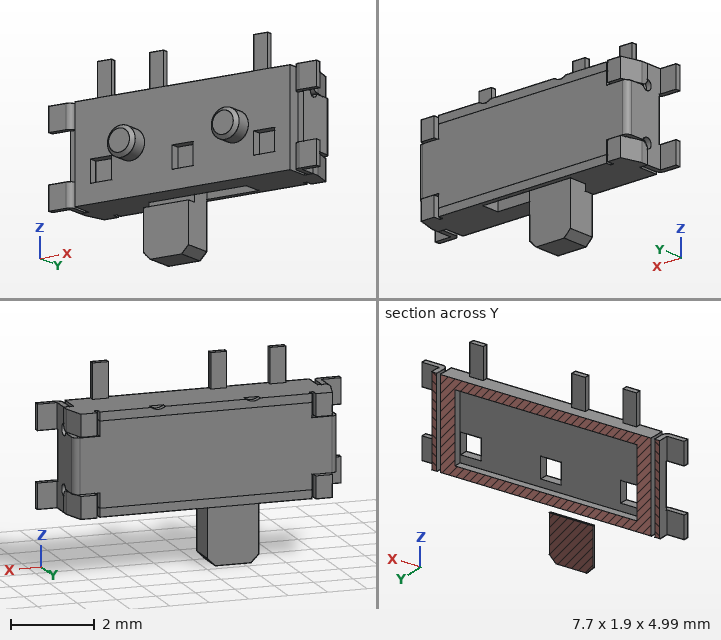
import cadquery as cq


housing_half_width = 3.095
housing_half_height = 1.3
housing_depth = 1.35
sheet_thickness = 0.155
end_half_width = 3.35
cover_seat_y = housing_depth - sheet_thickness

corner_inner_x = 2.77
corner_outer_x = 3.19
corner_back_y = 1.4
wing_front_y = 0.61
wing_slope_y = 0.82
wing_inner_z = 0.73
wing_fillet = 0.185
rim_half_width = 2.69
rim_notch_x = 1.2
rim_notch_half_width = 0.18
rim_notch_depth = 0.06

front_wall = 0.25
side_wall = 0.43
floor_wall = 0.3
cavity_half_width = housing_half_width - side_wall
cavity_half_height = housing_half_height - floor_wall
window_size = 0.6
window_pitch = 2.35
window_z = -0.485

peg_x = 1.49
peg_radius = 0.4
peg_length = 0.5
peg_chamfer = 0.1

slider_width = 1.3
slider_travel = 1.49
slider_x = -slider_travel / 2
neck_front_y = 0.655
neck_length = 0.185
knob_front_y = 0.4
knob_length = 1.49
knob_chamfer = 0.2
slot_width = slider_width + slider_travel

plate_half_height = 1.08
strap_half_height = 0.7
foot_tip_x = 3.85
foot_inner_z = 0.65
leg_front_y = 0.185
relief_radius = 0.15
relief_y = 0.63
relief_z = 0.75

terminal_width = 0.4
terminal_length = 0.9
terminal_positions = (-2.25, -0.75, 2.25)


def box(x_range, y_range, z_range):
    """Axis-aligned box spanning the given (low, high) ranges."""
    size = [high - low for low, high in (x_range, y_range, z_range)]
    corner = (x_range[0], y_range[0], z_range[0])
    return cq.Workplane("XY").box(*size, centered=False).translate(corner)


def centered_range(half_size, center=0):
    return (center - half_size, center + half_size)


def make_wing():
    """Upper wing at the +X end, with its corner block rising behind the rim."""
    wing = (
        cq.Workplane("XY", origin=(0, 0, wing_inner_z))
        .moveTo(corner_inner_x, wing_front_y)
        .lineTo(end_half_width, wing_front_y)
        .lineTo(end_half_width, wing_slope_y)
        .lineTo(corner_outer_x, corner_back_y)
        .lineTo(corner_inner_x, corner_back_y)
        .close()
        .extrude(housing_half_height - wing_inner_z)
    )
    return wing.edges("|X and <Y and <Z").fillet(wing_fillet)


def make_peg(x):
    peg = cq.Workplane("XZ", origin=(x, 0, 0)).circle(peg_radius).extrude(peg_length)
    return peg.faces("<Y").chamfer(peg_chamfer)


def make_rim_notch(x):
    """Shallow arc-bottomed notch in the top edge of the rim."""
    return (
        cq.Workplane("XZ", origin=(x, cover_seat_y, housing_half_height))
        .moveTo(-rim_notch_half_width, 0)
        .threePointArc((0, -rim_notch_depth), (rim_notch_half_width, 0))
        .close()
        .extrude(cover_seat_y - housing_depth)
    )


def make_rim():
    """Rim along the top and bottom of the housing back, open between for the cover plate."""
    rim_x = centered_range(rim_half_width)
    rim_y = (cover_seat_y, housing_depth)
    rim = box(rim_x, rim_y, (plate_half_height, housing_half_height))
    bottom_rim = rim.mirror("XY")
    for x in (-rim_notch_x, rim_notch_x):
        rim = rim.cut(make_rim_notch(x))
    return rim.union(bottom_rim)


def make_housing():
    full_height = centered_range(housing_half_height)
    body = box(centered_range(housing_half_width), (0, cover_seat_y), full_height)
    body = body.union(make_rim())

    right_wing = make_wing()
    right_wings = right_wing.union(right_wing.mirror("XY"))
    body = body.union(right_wings).union(right_wings.mirror("YZ"))

    body = body.cut(
        box(
            centered_range(cavity_half_width),
            (front_wall, cover_seat_y),
            centered_range(cavity_half_height),
        )
    )
    for x in (-window_pitch, 0, window_pitch):
        window_x = centered_range(window_size / 2, x)
        window_z_range = centered_range(window_size / 2, window_z)
        body = body.cut(box(window_x, (0, front_wall), window_z_range))

    slot_z = (-housing_half_height, -cavity_half_height)
    body = body.cut(box(centered_range(slot_width / 2), (neck_front_y, cover_seat_y), slot_z))

    for x in (-peg_x, peg_x):
        body = body.union(make_peg(x))
    return body


def make_cover_half():
    """+X half of the bent cover: back plate, strap, leg and two feet."""
    leg_inner_x = end_half_width - sheet_thickness
    half = (
        cq.Workplane("XY", origin=(0, 0, -housing_half_height))
        .moveTo(0, housing_depth)
        .lineTo(leg_inner_x, housing_depth)
        .radiusArc((end_half_width, cover_seat_y), sheet_thickness)
        .lineTo(end_half_width, sheet_thickness)
        .lineTo(foot_tip_x, sheet_thickness)
        .lineTo(foot_tip_x, 0)
        .lineTo(end_half_width, 0)
        .radiusArc((leg_inner_x, sheet_thickness), sheet_thickness)
        .lineTo(leg_inner_x, cover_seat_y)
        .lineTo(0, cover_seat_y)
        .close()
        .extrude(2 * housing_half_height)
    )
    behind_wing_front = (wing_front_y, housing_depth)
    for x_range, half_height in (
        ((0, rim_half_width), plate_half_height),
        ((rim_half_width, foot_tip_x), strap_half_height),
    ):
        above = box(x_range, behind_wing_front, (half_height, housing_half_height))
        half = half.cut(above).cut(above.mirror("XY"))
    half = half.cut(box((leg_inner_x, foot_tip_x), (0, leg_front_y), centered_range(foot_inner_z)))
    for z in (-relief_z, relief_z):
        relief = (
            cq.Workplane("YZ", origin=(leg_inner_x, relief_y, z))
            .circle(relief_radius)
            .extrude(sheet_thickness)
        )
        half = half.cut(relief)
    return half


def make_cover():
    half = make_cover_half()
    return half.union(half.mirror("YZ"))


def make_slider():
    """Slider in its left position; the knob below the housing is wider in Y than the neck."""
    slider_x_range = centered_range(slider_width / 2, slider_x)
    knob_top_z = -housing_half_height - neck_length
    knob_bottom_z = -housing_half_height - knob_length
    knob = box(slider_x_range, (knob_front_y, cover_seat_y), (knob_bottom_z, knob_top_z))
    knob = knob.faces("<Z").edges("|Y").chamfer(knob_chamfer)
    neck = box(slider_x_range, (neck_front_y, cover_seat_y), (knob_top_z, cavity_half_height))
    return knob.union(neck)


def make_terminal(x):
    """Straight tab standing on the housing top, flush with its front face."""
    top_z = housing_half_height + terminal_length
    return box(
        centered_range(terminal_width / 2, x),
        (0, sheet_thickness),
        (housing_half_height, top_z),
    )


housing = make_housing()
cover = make_cover()
slider = make_slider()
terminals = [make_terminal(x) for x in terminal_positions]

result = cq.Compound.makeCompound(
    [body.solids().val() for body in (housing, cover, slider, *terminals)]
)